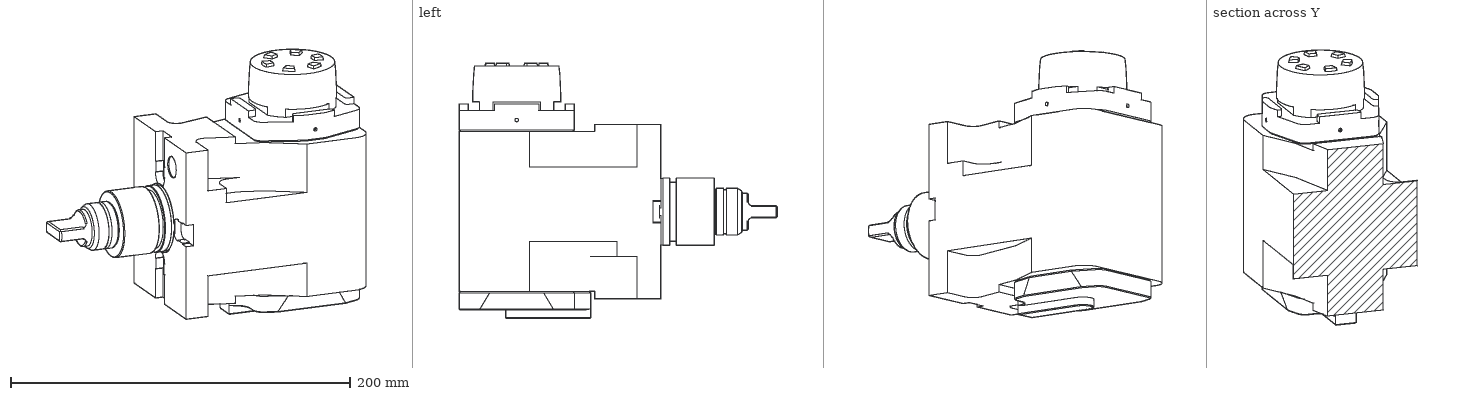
import cadquery as cq
import math


OVERALL_LENGTH = 187.8
CUT_CLEARANCE = 1.9

WIDTH = 78.0
HALF_WIDTH = WIDTH / 2
FLANGE_HALF_HEIGHT = 51.5
REAR_Y = 119.0
STEP_Y = 39.0
REAR_TOP_Z = 47.3
REAR_BOTTOM_Z = -47.0
REAR_CORNER_RADIUS = 10.0

POCKET_FRONT_Y = 14.0
POCKET_FLOOR_Z = 26.3
SHOULDER_X = 26.3
SHOULDER_Y = 55.5
SHOULDER_ANGLE = 30.0
WALL_ANGLE = 16.0
POCKET_RADIUS = 6.0
RELIEF_X = 22.0
RELIEF_FRONT_Y = 26.0
RELIEF_FLOOR_Z = 17.5
RELIEF_RADIUS = 7.9

KEYWAY_WIDTH = 13.1
WAIST_WIDTH = 12.0
KEYWAY_DEPTH = 4.7
KEYWAY_INNER = 20.5
WAIST_INNER = 26.7
WAIST_OUTER = 33.2
KEYWAY_CORNER_RADIUS = 5.0
RECESS_DIAMETER = 12.8
RECESS_X = 17.8
RECESS_Z = 36.6
RECESS_DEPTH = 0.8
COLLAR_RECESS_DIAMETER = 41.3

AXIS_Y = 85.0
PLATE_HALF_LENGTH = REAR_Y - AXIS_Y
PLATE_HALF_WIDTH = 34.2
PLATE_HALF_FLAT = 6.5
PLATE_ANGLE = 20.0
PLATE_RADIUS = 6.0
PLATE_CHAMFER = 1.0
PLATE_TOP_Z = 59.7
TAB_TOP_Z = 63.7
TAB_WIDTH = 26.3
TAB_INNER = 28.5
TAB_RADIUS = 2.0
PIN_HOLE_DIAMETER = 2.0
PIN_HOLE_Z = 54.0
PIN_HOLE_DEPTH = 1.9

HEAD_DIAMETER = 52.0
HEAD_TOP_DIAMETER = 50.0
HEAD_SHOULDER_Z = 70.5
HEAD_TOP_Z = 86.0
FLAT_DISTANCE = 22.0
FLAT_TOP_Z = 64.8
TOOTH_COUNT = 6
TOOTH_INNER_RADIUS = 13.1
TOOTH_OUTER_RADIUS = 18.8
TOOTH_HALF_ANGLE = 11.5
TOOTH_HEIGHT = 1.7
TOOTH_DRAFT = 12.0

BOTTOM_PLATE_Z = -58.0
KEY_BOTTOM_Z = -63.1
KEY_WIDTH = 13.1
KEY_FRONT_Y = 41.3
KEY_CHAMFER = 0.5
BEVEL_TOP_X = 31.0
BEVEL_BOTTOM_X = 28.5

COLLAR_RADIUS = 20.0
COLLAR_ROOT_RADIUS = 19.7
COLLAR_ROOT_Y = -1.1
COLLAR_CHAMFER = 0.4
COLLAR_END_Y = -31.7
GROOVE_RADIUS = 17.5
GROOVE_START_Y = -5.5
GROOVE_END_Y = -8.8
NECK_RADIUS = 13.0
NOSE_RADIUS = 13.9
NOSE_START_Y = -32.3
RING_GROOVE_Y = -37.7
RING_GROOVE_RADIUS = 1.0
NOSE_TAPER_Y = -45.0
NOSE_END_RADIUS = 12.4
NOSE_END_Y = -47.5
NOSE_STEP_Y = -48.3
SPINDLE_CHAMFER = 0.5

TANG_DIAMETER = 22.0
TANG_FACE_Y = -51.6
TANG_FACE_CHAMFER = 0.8
TANG_START_Y = TANG_FACE_Y + TANG_FACE_CHAMFER
TANG_END_Y = REAR_Y - OVERALL_LENGTH
TANG_HALF_THICKNESS = 3.8
TANG_FLAT_HALF_WIDTH = 8.8
TANG_SIDE_HALF_WIDTH = 10.5
TANG_SIDE_HALF_THICKNESS = 3.0
TANG_ROOT_RADIUS = 1.9
TANG_END_CHAMFER = 1.0


def block(x_range, y_range, z_range):
    """Axis-aligned box between pairs of coordinates."""
    lows = [min(pair) for pair in (x_range, y_range, z_range)]
    sizes = [abs(pair[1] - pair[0]) for pair in (x_range, y_range, z_range)]
    return cq.Workplane("XY").box(*sizes, centered=False).translate(tuple(lows))


def round_upright_edge(body, x, y, radius):
    """Fillet the vertical edge that stands at (x, y)."""
    middle_z = body.val().Center().z
    nearest = cq.selectors.NearestToPointSelector((x, y, middle_z))
    return body.edges("|Z").edges(nearest).fillet(radius)


def wall_x(y):
    """X of the sloping inner pocket wall at a given Y."""
    return SHOULDER_X - (SHOULDER_Y - y) * math.tan(math.radians(WALL_ANGLE))


def pocket_points(front_y, straight_wall=False):
    """Plan outline of a side pocket; a straight wall may replace the front end of the slope."""
    run_out = HALF_WIDTH + CUT_CLEARANCE
    run_out_y = SHOULDER_Y + (run_out - SHOULDER_X) / math.tan(math.radians(SHOULDER_ANGLE))
    points = [(run_out, front_y), (run_out, run_out_y), (SHOULDER_X, SHOULDER_Y)]
    if straight_wall:
        points += [(RELIEF_X, relief_bend_y()), (RELIEF_X, front_y)]
    else:
        points.append((wall_x(front_y), front_y))
    return points


def relief_bend_y():
    """Y at which the sloping wall reaches the straight relief wall."""
    return SHOULDER_Y - (SHOULDER_X - RELIEF_X) / math.tan(math.radians(WALL_ANGLE))


def pocket():
    """Upper +X side pocket, open at the side and the top."""
    height = FLANGE_HALF_HEIGHT + CUT_CLEARANCE - POCKET_FLOOR_Z
    outline = cq.Workplane("XY").workplane(offset=POCKET_FLOOR_Z).polyline(pocket_points(POCKET_FRONT_Y))
    body = outline.close().extrude(height)
    body = round_upright_edge(body, SHOULDER_X, SHOULDER_Y, POCKET_RADIUS)
    return round_upright_edge(body, wall_x(POCKET_FRONT_Y), POCKET_FRONT_Y, POCKET_RADIUS)


def relief():
    """Shorter step that deepens the upper +X pocket."""
    height = FLANGE_HALF_HEIGHT + CUT_CLEARANCE - RELIEF_FLOOR_Z
    points = pocket_points(RELIEF_FRONT_Y, straight_wall=True)
    body = cq.Workplane("XY").workplane(offset=RELIEF_FLOOR_Z).polyline(points).close().extrude(height)
    body = round_upright_edge(body, SHOULDER_X, SHOULDER_Y, POCKET_RADIUS)
    body = round_upright_edge(body, RELIEF_X, relief_bend_y(), RELIEF_RADIUS)
    return round_upright_edge(body, RELIEF_X, RELIEF_FRONT_Y, RELIEF_RADIUS)


def keyway():
    """Waisted keyway that runs up from the spindle to the flange edge."""
    far = FLANGE_HALF_HEIGHT + CUT_CLEARANCE
    depth = (0, KEYWAY_DEPTH)
    half = KEYWAY_WIDTH / 2
    inner_end = block((-half, half), depth, (KEYWAY_INNER, WAIST_INNER))
    inner_end = inner_end.edges("|Y and <Z").fillet(KEYWAY_CORNER_RADIUS)
    waist = block((-WAIST_WIDTH / 2, WAIST_WIDTH / 2), depth, (WAIST_INNER, WAIST_OUTER))
    outer = block((-half, half), depth, (WAIST_OUTER, far))
    return inner_end.union(waist).union(outer)


def housing():
    flange = block((-HALF_WIDTH, HALF_WIDTH), (0, STEP_Y), (-FLANGE_HALF_HEIGHT, FLANGE_HALF_HEIGHT))
    rear = block((-HALF_WIDTH, HALF_WIDTH), (STEP_Y, REAR_Y), (REAR_BOTTOM_Z, REAR_TOP_Z))
    body = flange.union(rear.edges("|Z and >Y").fillet(REAR_CORNER_RADIUS))

    upper = pocket()
    for cutter in (upper, upper.mirror("YZ"), upper.mirror("XY"), upper.mirror("XY").mirror("YZ")):
        body = body.cut(cutter)
    step = relief()
    body = body.cut(step).cut(step.rotate((0, 0, 0), (0, 1, 0), 180))

    slot = keyway()
    for turn in range(4):
        body = body.cut(slot.rotate((0, 0, 0), (0, 1, 0), 90 * turn))
    recess = cq.Workplane("XZ").center(RECESS_X, RECESS_Z).circle(RECESS_DIAMETER / 2).extrude(-RECESS_DEPTH)
    collar_recess = cq.Workplane("XZ").circle(COLLAR_RECESS_DIAMETER / 2).extrude(-RECESS_DEPTH)
    return body.cut(recess).cut(collar_recess)


def plate_prism(bottom_z, top_z):
    """Octagonal prism with rounded corners, centred on the vertical axis."""
    slant_x = (PLATE_HALF_LENGTH - PLATE_HALF_FLAT) * math.tan(math.radians(PLATE_ANGLE))
    end_x = PLATE_HALF_WIDTH - slant_x
    quarter = [(end_x, PLATE_HALF_LENGTH), (PLATE_HALF_WIDTH, PLATE_HALF_FLAT)]
    right = quarter + [(x, -y) for x, y in reversed(quarter)]
    points = right + [(-x, y) for x, y in reversed(right)]
    prism = cq.Workplane("XY", origin=(0, AXIS_Y, bottom_z)).polyline(points).close()
    return prism.extrude(top_z - bottom_z).edges("|Z").fillet(PLATE_RADIUS)


def around_axis(body, count):
    """Copies of a body equally spaced about the vertical axis."""
    axis_low = (0, AXIS_Y, 0)
    axis_high = (0, AXIS_Y, 1)
    return [body.rotate(axis_low, axis_high, 360 * index / count) for index in range(count)]


def top_plate():
    plate = plate_prism(REAR_TOP_Z, PLATE_TOP_Z).faces("<Z").edges().chamfer(PLATE_CHAMFER)
    inner_y = AXIS_Y + TAB_INNER
    tab = block((-TAB_WIDTH / 2, TAB_WIDTH / 2), (inner_y, inner_y + TAB_INNER), (PLATE_TOP_Z, TAB_TOP_Z))
    tab = tab.edges("|Z and <Y").fillet(TAB_RADIUS)
    limits = plate_prism(PLATE_TOP_Z, TAB_TOP_Z)
    for copy in around_axis(tab, 4):
        plate = plate.union(copy.intersect(limits))

    half_extents = (PLATE_HALF_LENGTH, PLATE_HALF_WIDTH) * 2
    hole = cq.Workplane("XZ", origin=(0, AXIS_Y, PIN_HOLE_Z)).circle(PIN_HOLE_DIAMETER / 2)
    hole = hole.extrude(PIN_HOLE_DEPTH)
    for turn, extent in enumerate(half_extents):
        placed = hole.translate((0, PIN_HOLE_DEPTH - extent, 0))
        plate = plate.cut(placed.rotate((0, AXIS_Y, 0), (0, AXIS_Y, 1), 90 * turn))
    return plate


def tooth():
    """Face tooth with radial sides and drafted walls."""
    angle = math.radians(TOOTH_HALF_ANGLE)
    inner_x = TOOTH_INNER_RADIUS * math.sin(angle)
    inner_y = TOOTH_INNER_RADIUS * math.cos(angle)
    outer_x = TOOTH_OUTER_RADIUS * math.sin(angle)
    outer_y = TOOTH_OUTER_RADIUS * math.cos(angle)
    outline = cq.Workplane("XY", origin=(0, AXIS_Y, HEAD_TOP_Z)).moveTo(-inner_x, inner_y)
    outline = outline.lineTo(inner_x, inner_y).lineTo(outer_x, outer_y)
    outline = outline.threePointArc((0, TOOTH_OUTER_RADIUS), (-outer_x, outer_y)).close()
    return outline.extrude(TOOTH_HEIGHT, taper=TOOTH_DRAFT)


def tool_head():
    radius = HEAD_DIAMETER / 2
    top_radius = HEAD_TOP_DIAMETER / 2
    barrel_middle = (radius - (radius - top_radius) / 4, (HEAD_SHOULDER_Z + HEAD_TOP_Z) / 2)
    profile = cq.Workplane("XZ", origin=(0, AXIS_Y, 0)).moveTo(0, PLATE_TOP_Z).lineTo(radius, PLATE_TOP_Z)
    profile = profile.lineTo(radius, HEAD_SHOULDER_Z)
    profile = profile.threePointArc(barrel_middle, (top_radius, HEAD_TOP_Z)).lineTo(0, HEAD_TOP_Z).close()
    head = profile.revolve(360, (0, 0, 0), (0, 1, 0))

    flat_y = AXIS_Y + FLAT_DISTANCE
    flat = block((-radius, radius), (flat_y, flat_y + radius), (PLATE_TOP_Z, FLAT_TOP_Z))
    for copy in around_axis(flat, 4):
        head = head.cut(copy)
    for copy in around_axis(tooth(), TOOTH_COUNT):
        head = head.union(copy)
    return head


def bottom_plate():
    plate = plate_prism(BOTTOM_PLATE_Z, REAR_BOTTOM_Z)
    half_key = KEY_WIDTH / 2
    plate_front_y = AXIS_Y - PLATE_HALF_LENGTH
    flare = plate_front_y - KEY_FRONT_Y

    bulge = flare * (1 - math.sqrt(0.5))
    tongue = cq.Workplane("XY", origin=(0, 0, BOTTOM_PLATE_Z)).moveTo(-half_key, KEY_FRONT_Y)
    tongue = tongue.lineTo(half_key, KEY_FRONT_Y)
    arc_middle = (half_key + bulge, plate_front_y - bulge)
    tongue = tongue.threePointArc(arc_middle, (half_key + flare, plate_front_y))
    tongue = tongue.lineTo(half_key + flare, AXIS_Y).lineTo(-half_key - flare, AXIS_Y)
    tongue = tongue.lineTo(-half_key - flare, plate_front_y)
    tongue = tongue.threePointArc((-half_key - bulge, plate_front_y - bulge), (-half_key, KEY_FRONT_Y))
    plate = plate.union(tongue.close().extrude(REAR_BOTTOM_Z - BOTTOM_PLATE_Z))

    bevel = [(-BEVEL_TOP_X, REAR_BOTTOM_Z), (BEVEL_TOP_X, REAR_BOTTOM_Z),
             (BEVEL_BOTTOM_X, BOTTOM_PLATE_Z), (-BEVEL_BOTTOM_X, BOTTOM_PLATE_Z)]
    plate = plate.intersect(cq.Workplane("XZ").polyline(bevel).close().extrude(-REAR_Y))
    plate = plate.faces(">Z").edges().chamfer(PLATE_CHAMFER)
    plate = plate.faces("<Z").edges().chamfer(KEY_CHAMFER)

    key_top_z = BOTTOM_PLATE_Z + KEY_CHAMFER
    key = block((-half_key, half_key), (KEY_FRONT_Y, AXIS_Y), (KEY_BOTTOM_Z, key_top_z))
    round_end = cq.Workplane("XY", origin=(0, AXIS_Y, KEY_BOTTOM_Z)).circle(half_key)
    key = key.union(round_end.extrude(key_top_z - KEY_BOTTOM_Z))
    return plate.union(key.faces("<Z").edges().chamfer(KEY_CHAMFER))


def spindle():
    """Turned spindle; each outline point is (radius, y), from the recessed flange face outwards."""
    end_radius = TANG_DIAMETER / 2
    collar_edge_radius = COLLAR_RADIUS - COLLAR_CHAMFER
    collar = [
        (0, RECESS_DEPTH),
        (COLLAR_ROOT_RADIUS, RECESS_DEPTH),
        (COLLAR_ROOT_RADIUS, COLLAR_ROOT_Y),
        (COLLAR_RADIUS, COLLAR_ROOT_Y),
        (COLLAR_RADIUS, GROOVE_START_Y + COLLAR_CHAMFER),
        (collar_edge_radius, GROOVE_START_Y),
        (GROOVE_RADIUS, GROOVE_START_Y),
        (GROOVE_RADIUS, GROOVE_END_Y),
        (collar_edge_radius, GROOVE_END_Y),
        (COLLAR_RADIUS, GROOVE_END_Y - COLLAR_CHAMFER),
        (COLLAR_RADIUS, COLLAR_END_Y + SPINDLE_CHAMFER),
        (COLLAR_RADIUS - SPINDLE_CHAMFER, COLLAR_END_Y),
    ]
    nose_start = [
        (NECK_RADIUS, COLLAR_END_Y),
        (NECK_RADIUS, NOSE_START_Y),
        (NOSE_RADIUS - SPINDLE_CHAMFER, NOSE_START_Y),
        (NOSE_RADIUS, NOSE_START_Y - SPINDLE_CHAMFER),
        (NOSE_RADIUS, RING_GROOVE_Y + RING_GROOVE_RADIUS),
    ]
    nose_end = [
        (NOSE_RADIUS, NOSE_TAPER_Y),
        (NOSE_END_RADIUS, NOSE_END_Y),
        (end_radius, NOSE_STEP_Y),
        (end_radius, TANG_START_Y),
        (end_radius - TANG_FACE_CHAMFER, TANG_FACE_Y),
        (0, TANG_FACE_Y),
    ]
    ring_bottom = (NOSE_RADIUS - RING_GROOVE_RADIUS, RING_GROOVE_Y)
    ring_end = (NOSE_RADIUS, RING_GROOVE_Y - RING_GROOVE_RADIUS)
    profile = cq.Workplane("XY").polyline(collar + nose_start).threePointArc(ring_bottom, ring_end)
    for corner in nose_end:
        profile = profile.lineTo(*corner)
    return profile.close().revolve(360, (0, 0, 0), (0, 1, 0))


def tang():
    """Flat drive tang with concave roots and bevelled edges, turned to the end diameter."""
    radius = TANG_DIAMETER / 2
    root_y = TANG_FACE_Y - TANG_ROOT_RADIUS
    root_z = TANG_HALF_THICKNESS + TANG_ROOT_RADIUS
    bulge = TANG_ROOT_RADIUS * math.sqrt(0.5)
    length = TANG_START_Y - TANG_END_Y
    rod = cq.Workplane("XZ", origin=(0, TANG_START_Y, 0)).circle(radius).extrude(length)
    blade = rod.faces("<Y").edges().chamfer(TANG_END_CHAMFER)

    above = cq.Workplane("YZ", origin=(-radius, 0, 0)).moveTo(TANG_END_Y, radius)
    above = above.lineTo(TANG_END_Y, TANG_HALF_THICKNESS - TANG_END_CHAMFER)
    above = above.lineTo(TANG_END_Y + TANG_END_CHAMFER, TANG_HALF_THICKNESS)
    above = above.lineTo(root_y, TANG_HALF_THICKNESS)
    above = above.threePointArc((root_y + bulge, root_z - bulge), (TANG_FACE_Y, root_z))
    above = above.lineTo(TANG_START_Y, root_z).lineTo(TANG_START_Y, radius).close().extrude(TANG_DIAMETER)

    bevel = [(TANG_FLAT_HALF_WIDTH, TANG_HALF_THICKNESS), (TANG_SIDE_HALF_WIDTH, TANG_SIDE_HALF_THICKNESS),
             (radius, TANG_SIDE_HALF_THICKNESS), (radius, TANG_HALF_THICKNESS)]
    edge = cq.Workplane("XZ", origin=(0, root_y, 0)).polyline(bevel).close().extrude(root_y - TANG_END_Y)

    for cutter in (above, edge, edge.mirror("YZ")):
        blade = blade.cut(cutter).cut(cutter.mirror("XY"))
    return blade


result = housing().union(top_plate()).union(tool_head()).union(bottom_plate()).union(spindle()).union(tang())